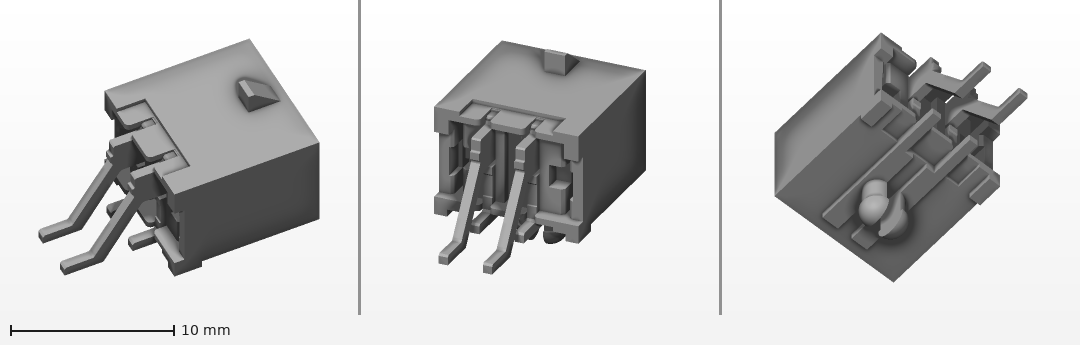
import cadquery as cq


width = 9.7
depth = 9.9
total_depth = 15.9
board_gap = 0.48
roof_z = 7.36
web = 0.72
bay_bottom = board_gap + web
bay_top = roof_z - web
bay_height = bay_top - bay_bottom
bay_half = 3.88
bay_depth = 0.96
side_step_depth = 0.68
side_step_top = 5.63
recess_half = 3.15
recess_depth = 1.94
recess_height = 0.3
groove_half = 0.555
groove_depth = 0.58

slot_inner = 3.45
slot_end = 2.5
lead_in = 0.2
pocket_end = 2.05
window_height = 0.54
window_bottoms = (2.35, 4.8)
inner_pocket_x = 2.43
inner_pocket_z = (2.94, 4.47)
outer_pocket_x = 4.17
outer_pocket_z = (2.45, 4.42)

latch_width = 1.4
latch_top = 8.75
latch_toe = depth - 0.6
latch_crest = depth - 2.4
latch_back = depth - 2.8

foot_inner = 3.98
foot_length = 1.87
pad_end = 8.9
peg_y = 5.29
peg_radius = 0.935
head_radius = 1.124
head_top = -2.0
head_center = head_top - 0.086

pin_width = 0.63
pin_x = 1.495
pin_slot_end = 1.84
pin_slot_radius = 0.32
upper_root = 2.2
tail_height = 0.66
tip_chamfer = 0.13
upper_top = 6.4
upper_bottom = 4.07
barb_top = 6.88
barb_base = 6.59
barb_y = 1.01
barb_slope = 0.15
head_y = -1.2
head_chamfer = 0.1
shoulder_y = -1.4
shoulder_top = 5.53
shoulder_bottom = 5.05
shoulder_fillet = 0.1
root_step_y = 1.74
root_top = 7.02
lower_top = 3.74
lower_face = 0.48
lower_tail_end = -1.36
notch_y = 0.57
notch_bottom = 1.64
notch_top = 3.22
notch_slope = 0.1
notch_fillet = 0.07
heel = 0.13


def box(x0, x1, y0, y1, z0, z1):
    """Axis-aligned box between two corners."""
    return cq.Workplane("XY").box(x1 - x0, y1 - y0, z1 - z0, centered=False).translate((x0, y0, z0))


def on_both_sides(half):
    """Shape together with its mirror image about the middle plane X = 0."""
    return half.union(half.mirror("YZ"))


def extrude_pin(sketch):
    """Closed terminal profile in the YZ plane, given its width and moved to the +X column."""
    return sketch.extrude(pin_width / 2, both=True).translate((pin_x, 0, 0))


def pin_slot():
    """Slot for one pin through roof and floor, with edges rounded at the solder face."""
    half = pin_width / 2
    mouth = half + pin_slot_radius
    sketch = (
        cq.Workplane("XY")
        .moveTo(-mouth, 0)
        .radiusArc((-half, pin_slot_radius), -pin_slot_radius)
        .lineTo(-half, pin_slot_end)
        .lineTo(half, pin_slot_end)
        .lineTo(half, pin_slot_radius)
        .radiusArc((mouth, 0), -pin_slot_radius)
        .close()
    )
    return sketch.extrude(roof_z).translate((pin_x, 0, 0))


def clip_slot():
    """Clip slot at +X: lead-in chamfers, locking pockets and two windows through the body."""
    outline = [
        (slot_inner, slot_end),
        (slot_inner, bay_depth + lead_in),
        (slot_inner - lead_in, bay_depth),
        (slot_inner - lead_in, side_step_depth),
        (bay_half + lead_in, side_step_depth),
        (bay_half, side_step_depth + lead_in),
        (bay_half, slot_end),
    ]
    lower = cq.Workplane("XY").polyline(outline).close().extrude(bay_height)
    lower = lower.translate((0, 0, bay_bottom))
    slot = lower.cut(box(bay_half, width / 2, 0, depth, side_step_top, roof_z))
    slot = slot.union(box(inner_pocket_x, slot_inner, side_step_depth, pocket_end, *inner_pocket_z))
    slot = slot.union(box(bay_half, outer_pocket_x, side_step_depth, pocket_end, *outer_pocket_z))
    for bottom in window_bottoms:
        slot = slot.union(box(slot_inner, bay_half, bay_depth, depth, bottom, bottom + window_height))
    return slot


def make_housing():
    half = width / 2
    body = box(-half, half, 0, depth, board_gap, roof_z)
    body = body.cut(box(-bay_half, bay_half, 0, bay_depth, bay_bottom, bay_top))
    body = body.cut(box(-half, half, 0, side_step_depth, bay_bottom, side_step_top))
    for bottom in (board_gap, roof_z - recess_height):
        body = body.cut(box(-recess_half, recess_half, 0, recess_depth, bottom, bottom + recess_height))
    body = body.cut(box(-groove_half, groove_half, 0, bay_depth + groove_depth, bay_bottom, bay_top))
    return body.cut(on_both_sides(pin_slot())).cut(on_both_sides(clip_slot()))


def make_latch():
    outline = [(latch_toe, roof_z), (latch_crest, latch_top), (latch_back, latch_top), (latch_back, roof_z)]
    return cq.Workplane("YZ").polyline(outline).close().extrude(latch_width / 2, both=True)


def make_supports():
    """Corner feet and the pads carrying the split peg."""
    foot = box(foot_inner, width / 2, 0, foot_length, 0, board_gap)
    pad = box(groove_half, pin_x + pin_width / 2, recess_depth, pad_end, 0, board_gap)
    return on_both_sides(foot.union(pad))


def make_peg():
    """Two half-round legs with domed heads, flat faces toward the middle."""
    reach = head_radius
    shank = cq.Workplane("XY").circle(peg_radius).extrude(head_top)
    ball = cq.Workplane("XY").sphere(head_radius).translate((0, 0, head_center))
    head = ball.intersect(box(-reach, reach, -reach, reach, head_center - reach, head_top))
    leg = shank.union(head)
    leg = leg.intersect(box(0, reach, -reach, reach, head_center - reach, 0))
    return on_both_sides(leg.translate((groove_half, peg_y, 0)))


def upper_pin():
    """Upper-row terminal: barbed root, shoulder, sloping leg and flat tail."""
    tail_end = depth - total_depth
    leg_front_top = (-1.25, 4.77)
    leg_front_bottom = (-3.9, 0.83)
    leg_back_bottom = (-3.35, 0)
    leg_back_top = (-0.78, 3.93)
    sketch = (
        cq.Workplane("YZ")
        .moveTo(upper_root, upper_bottom)
        .lineTo(upper_root, root_top)
        .lineTo(root_step_y, root_top)
        .lineTo(root_step_y, barb_top)
        .lineTo(barb_y + barb_slope, barb_top)
        .lineTo(barb_y, barb_top - barb_slope)
        .lineTo(barb_y, barb_base)
        .lineTo(barb_y - barb_slope, upper_top)
        .lineTo(head_y + head_chamfer, upper_top)
        .lineTo(head_y, upper_top - head_chamfer)
        .lineTo(head_y, shoulder_top + shoulder_fillet)
        .radiusArc((head_y - shoulder_fillet, shoulder_top), shoulder_fillet)
        .lineTo(shoulder_y, shoulder_top)
        .lineTo(shoulder_y, shoulder_bottom)
        .threePointArc((-1.26, 4.93), leg_front_top)
        .lineTo(*leg_front_bottom)
        .threePointArc((-3.965, 0.735), (-4.06, tail_height))
        .lineTo(tail_end + tip_chamfer, tail_height)
        .lineTo(tail_end, tail_height - tip_chamfer)
        .lineTo(tail_end, 0)
        .lineTo(*leg_back_bottom)
        .lineTo(*leg_back_top)
        .threePointArc((-0.68, 4.03), (-0.55, upper_bottom))
        .close()
    )
    return extrude_pin(sketch)


def lower_pin():
    """Lower-row terminal: upright with a shallow notch, and a short flat tail."""
    sketch = (
        cq.Workplane("YZ")
        .moveTo(recess_depth, lower_top)
        .lineTo(lower_face, lower_top)
        .lineTo(lower_face, notch_top)
        .lineTo(notch_y, notch_top - notch_slope)
        .lineTo(notch_y, notch_bottom + notch_fillet)
        .radiusArc((notch_y - notch_fillet, notch_bottom), notch_fillet)
        .lineTo(lower_face, notch_bottom)
        .lineTo(lower_face, tail_height + heel)
        .lineTo(lower_face - heel, tail_height)
        .lineTo(lower_tail_end + tip_chamfer, tail_height)
        .lineTo(lower_tail_end, tail_height - tip_chamfer)
        .lineTo(lower_tail_end, 0)
        .lineTo(recess_depth, 0)
        .close()
    )
    return extrude_pin(sketch)


result = make_housing()
for piece in (make_latch(), make_supports(), make_peg(), on_both_sides(upper_pin()), on_both_sides(lower_pin())):
    result = result.union(piece)